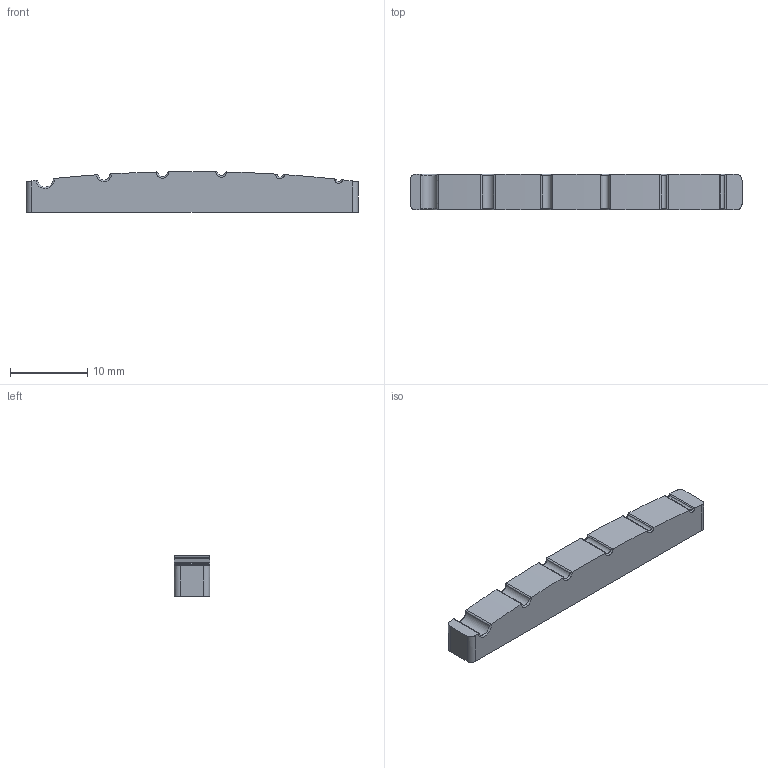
import cadquery as cq
import math


length = 43.0
width = 4.6
crown_height = 5.3
crown_radius = 177.8
corner_radius = 0.75

string_spacing = 7.6
slot_radii = [1.0, 0.75, 0.625, 0.5, 0.375, 0.3]
mouth_rounding = 0.2


def crown_z(x):
    """Height of the crowned top at a distance x from the middle."""
    return crown_height - crown_radius + math.sqrt(crown_radius**2 - x**2)


def slot_x(index):
    """Position of a slot along the bar; the slots are centred as a group."""
    return (index - (len(slot_radii) - 1) / 2) * string_spacing


def make_body():
    """Bar with an arched top and rounded upright corners."""
    end_x = length / 2
    end_z = crown_z(end_x)
    profile = (
        cq.Workplane("XZ", origin=(0, width / 2, 0))
        .moveTo(-end_x, 0)
        .lineTo(end_x, 0)
        .lineTo(end_x, end_z)
        .threePointArc((0, crown_height), (-end_x, end_z))
        .close()
    )
    return profile.extrude(width).edges("|Z").fillet(corner_radius)


def cut_slot(body, x, radius):
    """Cut a round slot whose axis lies on the crown, then round every edge of its mouth."""
    z = crown_z(x)
    cutter = cq.Workplane("XZ", origin=(x, width / 2, z)).circle(radius).extrude(width)
    slotted = body.cut(cutter)

    margin = mouth_rounding / 2
    reach = radius + margin
    side = width / 2 + margin
    mouth = cq.selectors.BoxSelector((x - reach, -side, z - reach), (x + reach, side, z + reach))
    return slotted.edges(mouth).fillet(mouth_rounding)


result = make_body()
for slot_index, slot_radius in enumerate(slot_radii):
    result = cut_slot(result, slot_x(slot_index), slot_radius)